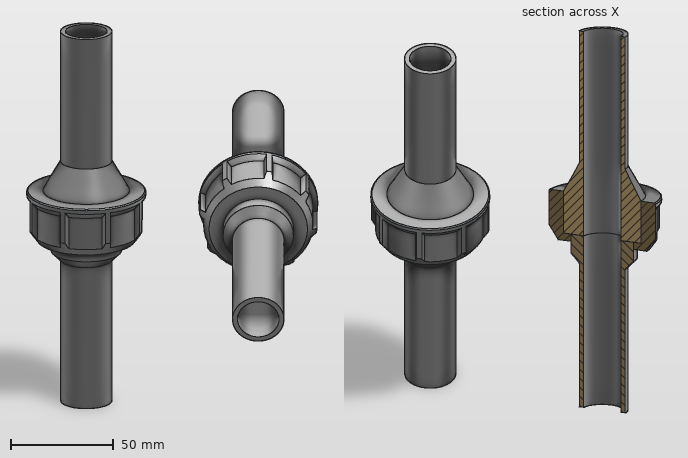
import cadquery as cq

total_length = 190.0
pipe_radius = 12.5
bore_radius = 10.0

nut_radius = 28.98
nut_bottom = 83.0
nut_top = 108.1
nut_bottom_radius = 24.0
nut_bevel_height = 7.0
nut_top_chamfer = 0.5

rib_count = 8
rib_tip_width = 2.7
rib_root_width = 4.4
pocket_floor_radius = 26.6
pocket_depth = nut_radius - pocket_floor_radius
pocket_bottom = 86.6
pocket_roof_inner = 102.8
pocket_roof_outer = 105.6
pocket_overshoot = 1.9

shoulder_radius = 21.0
upper_cone_top = 123.3
seat_height = pocket_bottom

collar_radius = 17.1
collar_bottom = 77.1
lower_cone_bottom = 72.5


def revolve_profile(points):
    """Turn a closed (radius, height) outline around the Z axis."""
    return cq.Workplane("XZ").polyline(points).close().revolve(360, (0, 0), (0, 1))


def make_upper_tailpiece():
    return revolve_profile([
        (bore_radius, seat_height),
        (shoulder_radius, seat_height),
        (shoulder_radius, nut_top),
        (pipe_radius, upper_cone_top),
        (pipe_radius, total_length),
        (bore_radius, total_length),
    ])


def make_lower_tailpiece():
    return revolve_profile([
        (bore_radius, 0),
        (pipe_radius, 0),
        (pipe_radius, lower_cone_bottom),
        (collar_radius, collar_bottom),
        (collar_radius, seat_height),
        (bore_radius, seat_height),
    ])


def make_nut_blank():
    return revolve_profile([
        (collar_radius, nut_bottom),
        (nut_bottom_radius, nut_bottom),
        (nut_radius, nut_bottom + nut_bevel_height),
        (nut_radius, nut_top - nut_top_chamfer),
        (nut_radius - nut_top_chamfer, nut_top),
        (shoulder_radius, nut_top),
        (shoulder_radius, seat_height),
        (collar_radius, seat_height),
    ])


def make_pocket_ring():
    """Full ring of removed material, with a sloping roof."""
    roof_slope = (pocket_roof_outer - pocket_roof_inner) / pocket_depth
    outer_radius = nut_radius + pocket_overshoot
    return revolve_profile([
        (pocket_floor_radius, pocket_bottom),
        (outer_radius, pocket_bottom),
        (outer_radius, pocket_roof_outer + roof_slope * pocket_overshoot),
        (pocket_floor_radius, pocket_roof_inner),
    ])


def make_rib_bar(angle):
    """Radial bar with tapering sides that keeps one rib out of the pocket ring."""
    taper = (rib_root_width - rib_tip_width) / pocket_depth
    inner_radius = pocket_floor_radius - pocket_overshoot
    outer_radius = nut_radius + pocket_overshoot
    inner_half = (rib_root_width + taper * pocket_overshoot) / 2
    outer_half = (rib_tip_width - taper * (outer_radius - nut_radius)) / 2
    bar = (
        cq.Workplane("XY", origin=(0, 0, nut_bottom))
        .polyline([
            (inner_radius, -inner_half),
            (outer_radius, -outer_half),
            (outer_radius, outer_half),
            (inner_radius, inner_half),
        ])
        .close()
        .extrude(nut_top - nut_bottom)
    )
    return bar.rotate((0, 0, 0), (0, 0, 1), angle)


def make_union_nut():
    pockets = make_pocket_ring()
    for index in range(rib_count):
        pockets = pockets.cut(make_rib_bar(index * 360 / rib_count))
    return make_nut_blank().cut(pockets)


upper_tailpiece = make_upper_tailpiece()
lower_tailpiece = make_lower_tailpiece()
union_nut = make_union_nut()

result = cq.Compound.makeCompound([
    upper_tailpiece.val(),
    lower_tailpiece.val(),
    union_nut.val(),
])